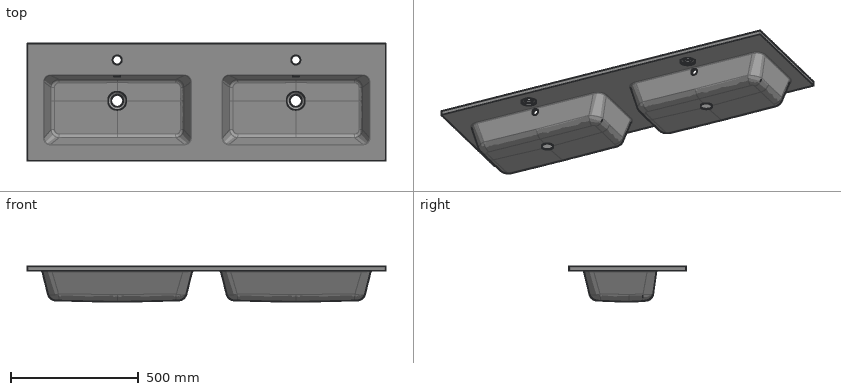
import cadquery as cq
import math

SLAB_LENGTH = 1405.0
SLAB_WIDTH = 460.0
SLAB_THICKNESS = 18.0
SLAB_CORNER_RADIUS = 3.0
SLAB_TOP_RADIUS = 1.5

OVERALL_HEIGHT = 140.0
BASIN_SPACING = 700.0
BASIN_CENTERS = (-BASIN_SPACING / 2, BASIN_SPACING / 2)
SHELL_THICKNESS = 11.0

MOUTH_HALF_LENGTH = 288.0
MOUTH_BACK_Y = 105.5
MOUTH_FRONT_Y = -165.0
MOUTH_CORNER_RADIUS = 26.0
RIM_RADIUS = 2.0
UNDERSIDE_RADIUS = 4.0

SIDE_DRAFT = 14.0
FRONT_DRAFT = 13.5
BACK_DRAFT = 8.0
CORNER_GROWTH = 6.0

DRAIN_Y = 5.0
DISH_DROP = 6.0
DISH_MARGIN = 6.0
BLOCK_FLARE = 100.0
OUTER_FLOOR_Z = DISH_DROP - OVERALL_HEIGHT
INNER_FLOOR_Z = OUTER_FLOOR_Z + SHELL_THICKNESS
OUTER_FLOOR_RADIUS = 34.0
INNER_FLOOR_RADIUS = 14.0

DRAIN_DIAMETER = 46.0
DRAIN_SEAT_DIAMETER = 72.0
DRAIN_SEAT_DEPTH = 8.0

TAP_HOLE_DIAMETER = 35.0
TAP_HOLE_Y = 165.0
TAP_LAND_THICKNESS = 10.0
TAP_RECESS_DIAMETER = 60.0

OVERFLOW_DIAMETER = 25.0
OVERFLOW_Z = -36.0


def inset(draft, z):
    """Distance a wall with the given draft has moved inward at height z."""
    return -z * math.tan(math.radians(draft))


def wall_limits(z, offset):
    """Half length, back Y and front Y of the basin walls at height z."""
    half_length = MOUTH_HALF_LENGTH + offset - inset(SIDE_DRAFT, z)
    back_y = MOUTH_BACK_Y + offset - inset(BACK_DRAFT, z)
    front_y = MOUTH_FRONT_Y - offset + inset(FRONT_DRAFT, z)
    return half_length, back_y, front_y


def wall_section(z, offset, corner_radius):
    """Rounded rectangle around the basin walls at height z."""
    half_length, back_y, front_y = wall_limits(z, offset)
    sketch = cq.Sketch().rect(2 * half_length, back_y - front_y).vertices().fillet(corner_radius)
    return sketch.moved(cq.Location(cq.Vector(0, (back_y + front_y) / 2, z)))


def plan_outline(half_length, back_y, front_y, z):
    """Corner and drain-axis points of a rectangle at height z, in order around it."""
    plan = [
        (-half_length, front_y),
        (0, front_y),
        (half_length, front_y),
        (half_length, DRAIN_Y),
        (half_length, back_y),
        (0, back_y),
        (-half_length, back_y),
        (-half_length, DRAIN_Y),
    ]
    return [cq.Vector(x, y, z) for x, y in plan]


def polygon_face(points):
    return cq.Face.makeFromWires(cq.Wire.makePolygon(points, close=True))


def dish_block(floor_z, offset):
    """Flared block whose underside is four twisted faces falling from a level border to the drain axis."""
    half_length, back_y, front_y = wall_limits(floor_z, offset)
    half_length += DISH_MARGIN
    back_y += DISH_MARGIN
    front_y -= DISH_MARGIN
    apex_z = floor_z - DISH_DROP / (1 - DRAIN_DIAMETER / 2 / half_length)
    apex = cq.Vector(0, DRAIN_Y, apex_z)
    faces = []
    for x in (-half_length, half_length):
        for y in (front_y, back_y):
            valley = cq.Edge.makeLine(apex, cq.Vector(x, DRAIN_Y, floor_z))
            border = cq.Edge.makeLine(cq.Vector(0, y, floor_z), cq.Vector(x, y, floor_z))
            faces.append(cq.Face.makeRuledSurface(valley, border))
    low = plan_outline(half_length, back_y, front_y, floor_z)
    high = plan_outline(half_length + BLOCK_FLARE, back_y + BLOCK_FLARE, front_y - BLOCK_FLARE, DISH_MARGIN)
    for i in range(len(low)):
        faces.append(polygon_face([low[i - 1], low[i], high[i], high[i - 1]]))
    faces.append(polygon_face(high))
    return cq.Workplane(cq.Solid.makeSolid(cq.Shell.makeShell(faces)).fix())


def basin_body(floor_z, offset, floor_radius):
    """Tapered tub from Z = 0 down to a dished floor with a rounded lower edge."""
    loft_end_z = floor_z - 2 * DISH_DROP
    mouth_radius = MOUTH_CORNER_RADIUS + offset
    mouth = wall_section(0, offset, mouth_radius)
    loft_end = wall_section(loft_end_z, offset, mouth_radius + CORNER_GROWTH)
    tub = cq.Workplane("XY").placeSketch(mouth, loft_end).loft(ruled=True)
    tub = tub.intersect(dish_block(floor_z, offset))

    half_drop = DISH_DROP / 2
    border_zone = cq.selectors.BoxSelector(
        (-SLAB_LENGTH, -SLAB_WIDTH, floor_z - half_drop),
        (SLAB_LENGTH, SLAB_WIDTH, floor_z + half_drop),
    )
    border_edges = [edge for edge in tub.edges(border_zone).vals() if edge.BoundingBox().zlen < half_drop]
    return tub.newObject(border_edges).fillet(floor_radius)


def slab():
    body = cq.Workplane("XY").box(SLAB_LENGTH, SLAB_WIDTH, SLAB_THICKNESS, centered=(True, True, False))
    body = body.translate((0, 0, -SLAB_THICKNESS))
    body = body.edges("|Z").fillet(SLAB_CORNER_RADIUS)
    return body.faces(">Z").edges().fillet(SLAB_TOP_RADIUS)


def basin_joint(z):
    """Selects the edges at height z where basins meet the slab, leaving out the slab outline."""
    margin = 4 * SLAB_CORNER_RADIUS
    reach_x = SLAB_LENGTH / 2 - margin
    reach_y = SLAB_WIDTH / 2 - margin
    return cq.selectors.BoxSelector((-reach_x, -reach_y, z - 1), (reach_x, reach_y, z + 1))


def drain_cutter():
    """Through bore with a conical seat in the dished floor."""
    bore_radius = DRAIN_DIAMETER / 2
    seat_radius = DRAIN_SEAT_DIAMETER / 2
    seat_top_z = INNER_FLOOR_Z - DISH_DROP * (1 - DRAIN_SEAT_DIAMETER / 2 / MOUTH_HALF_LENGTH)
    clear_top_z = seat_top_z + DRAIN_SEAT_DEPTH
    clear_bottom_z = -OVERALL_HEIGHT - DRAIN_SEAT_DEPTH
    profile = (
        cq.Workplane("XZ")
        .moveTo(0, clear_bottom_z)
        .lineTo(bore_radius, clear_bottom_z)
        .lineTo(bore_radius, seat_top_z - DRAIN_SEAT_DEPTH)
        .lineTo(seat_radius, seat_top_z)
        .lineTo(seat_radius, clear_top_z)
        .lineTo(0, clear_top_z)
        .close()
    )
    return profile.revolve(360, (0, 0, 0), (0, 1, 0)).translate((0, DRAIN_Y, 0))


def overflow_cutter():
    """Horizontal hole through the back wall."""
    wall_y = wall_limits(OVERFLOW_Z, 0)[1]
    start = cq.Workplane("XZ", origin=(0, wall_y - SHELL_THICKNESS, OVERFLOW_Z))
    return start.circle(OVERFLOW_DIAMETER / 2).extrude(-3 * SHELL_THICKNESS)


def tap_cutter():
    """Tap hole with a wider recess below that leaves a thin land."""
    base = cq.Workplane("XY", origin=(0, TAP_HOLE_Y, -SLAB_THICKNESS))
    hole = base.circle(TAP_HOLE_DIAMETER / 2).extrude(SLAB_THICKNESS)
    recess = base.circle(TAP_RECESS_DIAMETER / 2).extrude(SLAB_THICKNESS - TAP_LAND_THICKNESS)
    return hole.union(recess)


def washbasin():
    outer = basin_body(OUTER_FLOOR_Z, SHELL_THICKNESS, OUTER_FLOOR_RADIUS)
    cavity = basin_body(INNER_FLOOR_Z, 0, INNER_FLOOR_RADIUS)
    body = slab()
    for x in BASIN_CENTERS:
        body = body.union(outer.translate((x, 0, 0)))
    body = body.edges(basin_joint(-SLAB_THICKNESS)).fillet(UNDERSIDE_RADIUS)
    for x in BASIN_CENTERS:
        body = body.cut(cavity.translate((x, 0, 0)))
    body = body.edges(basin_joint(0)).fillet(RIM_RADIUS)
    for x in BASIN_CENTERS:
        for cutter in (drain_cutter(), overflow_cutter(), tap_cutter()):
            body = body.cut(cutter.translate((x, 0, 0)))
    return body


result = washbasin()